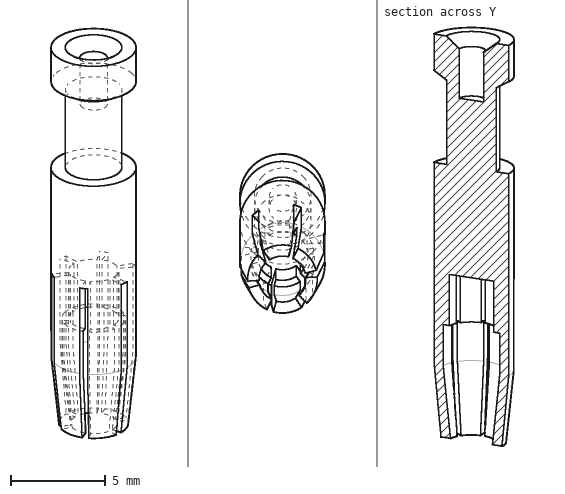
import cadquery as cq

TOTAL_HEIGHT = 22.2
HEAD_HEIGHT = 2.02
HEAD_CHAMFER_HEIGHT = 0.45
BODY_TOP = 15.12
SLOT_TOP = 9.04
TAPER_TOP = 4

BODY_RADIUS = 4.5 / 2
NECK_RADIUS = 3.0 / 2
TIP_RADIUS = 1.85

FUNNEL_DEPTH = 0.6
HOLE_RADIUS = 1.45 / 2
HOLE_DEPTH = 3.33

BORE_RADIUS = 1.69
BORE_TIP_RADIUS = 1.25
BORE_STEP_HEIGHT = 6.22
BORE_INNER_RADIUS = 1.33
SLOT_COUNT = 6
SLOT_WIDTH = 0.45
SLOT_OVERSHOOT = 0.22


def revolve_profile(points):
    """Turn (radius, height) points into a solid around the Z axis."""
    return cq.Workplane("XZ").polyline(points).close().revolve(360, (0, 0, 0), (0, 1, 0))


def make_pin():
    head_bottom = TOTAL_HEIGHT - HEAD_HEIGHT
    neck_top = head_bottom - HEAD_CHAMFER_HEIGHT
    return revolve_profile([
        (0, 0),
        (TIP_RADIUS, 0),
        (BODY_RADIUS, TAPER_TOP),
        (BODY_RADIUS, BODY_TOP),
        (NECK_RADIUS, BODY_TOP),
        (NECK_RADIUS, neck_top),
        (BODY_RADIUS, head_bottom),
        (BODY_RADIUS, TOTAL_HEIGHT),
        (0, TOTAL_HEIGHT),
    ])


def make_head_hole():
    hole_floor = TOTAL_HEIGHT - HOLE_DEPTH
    return revolve_profile([
        (0, hole_floor),
        (HOLE_RADIUS, hole_floor),
        (HOLE_RADIUS, TOTAL_HEIGHT - FUNNEL_DEPTH),
        (NECK_RADIUS, TOTAL_HEIGHT),
        (0, TOTAL_HEIGHT),
    ])


def make_bore():
    return revolve_profile([
        (0, 0),
        (BORE_TIP_RADIUS, 0),
        (BORE_RADIUS, TAPER_TOP),
        (BORE_RADIUS, BORE_STEP_HEIGHT),
        (BORE_INNER_RADIUS, BORE_STEP_HEIGHT),
        (BORE_INNER_RADIUS, SLOT_TOP),
        (0, SLOT_TOP),
    ])


def make_slot(angle):
    """Wedge whose walls are radial, SLOT_WIDTH wide at the body surface."""
    reach = BODY_RADIUS + SLOT_OVERSHOOT
    half_width = SLOT_WIDTH / 2 * reach / BODY_RADIUS
    wedge = cq.Workplane("XY").polyline([(0, 0), (reach, -half_width), (reach, half_width)]).close()
    return wedge.extrude(SLOT_TOP).rotate((0, 0, 0), (0, 0, 1), angle)


result = make_pin().cut(make_head_hole()).cut(make_bore())
for index in range(SLOT_COUNT):
    slot_angle = 90 + index * 360 / SLOT_COUNT
    result = result.cut(make_slot(slot_angle))